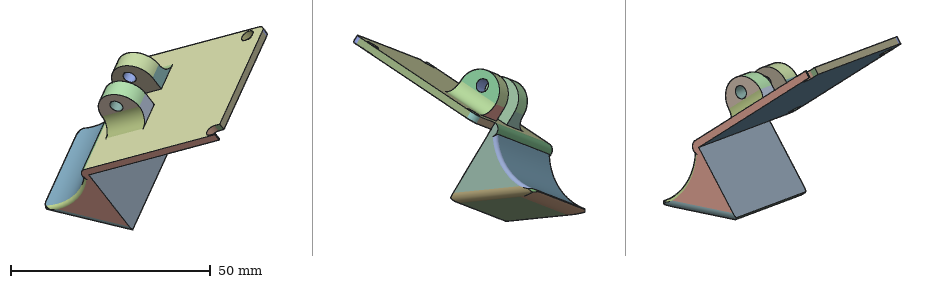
import cadquery as cq
import math

PLAN_ANGLE = 30
SLOPE_ANGLE = 35

PLATE_LENGTH = 41.95
PLATE_WIDTH = 39.8
PLATE_THICKNESS = 1.95
PLATE_CORNER_RADIUS = 2.0
HOLE_DIAMETER = 3.4
HOLE_SPACING = 34.55
HOLE_FRONT_INSET = 2.65
HOLE_SIDE_INSET = 2.35
NOTCH_CENTER_LENGTH = 40.25
NOTCH_SIDE_INSET = 2.15

LUG_FRONT_INSET = 2.65
LUG_LENGTH = 12.0
LUG_THICKNESS = 4.9
LUG_GAP = 5.6
LUG_MIDDLE_WIDTH = 22.05
LUG_STRAIGHT_HEIGHT = 3.9
PIN_HEIGHT = 6.0
FLARE_RADIUS = 4.0

FOOT_WIDTH = 29.9
BEND_HEIGHT = 17.55
FOOT_FRONT = 12.3
FOOT_BACK = 11.8
FOOT_ROUNDING = 2.25
TOE_CORNER_RADIUS = 2.8
TOE_CURL_LENGTH = 5.05
TOE_CURL_HEIGHT = 0.9
SADDLE_RADIUS = 16.8
SADDLE_CENTER_HEIGHT = 16.8
SADDLE_SETBACK = 1.5
SADDLE_EDGE_ROUNDING = 1.0

slope = math.radians(SLOPE_ANGLE)
bend_axis = (0, BEND_HEIGHT)


def width_plane(width):
    """Plane across the part at a given width: local x is forward along the part, local y is up."""
    return cq.Plane(origin=(0, width, 0), xDir=(1, 0, 0), normal=(0, -1, 0))


def make_plate():
    """Flat plate with rounded corners on its wide side, two holes and an open notch."""
    plate = (
        cq.Workplane("XY")
        .box(PLATE_LENGTH, PLATE_WIDTH, PLATE_THICKNESS, centered=False)
        .edges("|Z and >Y")
        .fillet(PLATE_CORNER_RADIUS)
    )
    holes = (
        cq.Workplane("XY")
        .pushPoints([
            (HOLE_FRONT_INSET + i * HOLE_SPACING, PLATE_WIDTH - HOLE_SIDE_INSET) for i in range(2)
        ])
        .circle(HOLE_DIAMETER / 2)
        .extrude(PLATE_THICKNESS)
    )
    notch_end = (
        cq.Workplane("XY")
        .center(NOTCH_CENTER_LENGTH, NOTCH_SIDE_INSET)
        .circle(HOLE_DIAMETER / 2)
        .extrude(PLATE_THICKNESS)
    )
    notch_mouth = (
        cq.Workplane("XY")
        .box(HOLE_DIAMETER, HOLE_DIAMETER, PLATE_THICKNESS, centered=(False, True, False))
        .translate((NOTCH_CENTER_LENGTH, NOTCH_SIDE_INSET, 0))
    )
    return plate.cut(holes).cut(notch_end).cut(notch_mouth)


def make_lugs():
    """Pair of mirrored round-topped lugs, each flared outward at its foot, with a common pin hole."""
    lug_radius = LUG_LENGTH / 2
    inner = LUG_GAP / 2
    outer = inner + LUG_THICKNESS
    flare_mid = FLARE_RADIUS * (1 - math.sqrt(0.5))

    outline = (
        cq.Workplane(width_plane(outer + FLARE_RADIUS))
        .moveTo(-lug_radius, 0)
        .lineTo(lug_radius, 0)
        .lineTo(lug_radius, LUG_STRAIGHT_HEIGHT)
        .threePointArc((0, LUG_STRAIGHT_HEIGHT + lug_radius), (-lug_radius, LUG_STRAIGHT_HEIGHT))
        .close()
        .extrude(2 * (outer + FLARE_RADIUS))
    )
    lug_height = LUG_STRAIGHT_HEIGHT + lug_radius
    section = (
        cq.Workplane("YZ", origin=(-lug_radius, 0, 0))
        .moveTo(inner, 0)
        .lineTo(outer + FLARE_RADIUS, 0)
        .threePointArc((outer + flare_mid, flare_mid), (outer, FLARE_RADIUS))
        .lineTo(outer, lug_height)
        .lineTo(inner, lug_height)
        .close()
        .extrude(LUG_LENGTH)
    )
    pin_hole = (
        cq.Workplane(width_plane(outer))
        .center(0, PIN_HEIGHT)
        .circle(HOLE_DIAMETER / 2)
        .extrude(2 * outer)
    )
    lugs = section.union(section.mirror("XZ")).intersect(outline).cut(pin_hole)
    return lugs.translate((LUG_FRONT_INSET + lug_radius, LUG_MIDDLE_WIDTH, PLATE_THICKNESS))


def make_foot():
    """Wedge with a back face square to the plate and a cylindrical saddle ending in a thin toe."""
    back_face_depth = BEND_HEIGHT * math.tan(slope)
    block = (
        cq.Workplane("XY")
        .box(FOOT_FRONT + FOOT_BACK, FOOT_WIDTH, BEND_HEIGHT, centered=False)
        .translate((-FOOT_FRONT, 0, 0))
    )
    rounded_below = block.faces("<Z").edges("not <X").fillet(FOOT_ROUNDING)
    rounded_toe = block.edges("|Z and <X").fillet(TOE_CORNER_RADIUS)
    behind_back_face = (
        cq.Workplane(width_plane(FOOT_WIDTH))
        .polyline([bend_axis, (back_face_depth, BEND_HEIGHT), (back_face_depth, 0)])
        .close()
        .extrude(FOOT_WIDTH)
    )
    saddle = (
        cq.Workplane(width_plane(FOOT_WIDTH))
        .center(-SADDLE_SETBACK - SADDLE_RADIUS, SADDLE_CENTER_HEIGHT)
        .circle(SADDLE_RADIUS)
        .extrude(FOOT_WIDTH)
    )
    curl_radius = (TOE_CURL_LENGTH**2 + TOE_CURL_HEIGHT**2) / (2 * TOE_CURL_HEIGHT)
    half_turn = math.asin(TOE_CURL_LENGTH / curl_radius) / 2
    curl_start = TOE_CURL_LENGTH - FOOT_FRONT
    under_toe = (
        cq.Workplane(width_plane(FOOT_WIDTH))
        .moveTo(curl_start, 0)
        .threePointArc(
            (curl_start - curl_radius * math.sin(half_turn), curl_radius * (1 - math.cos(half_turn))),
            (-FOOT_FRONT, TOE_CURL_HEIGHT),
        )
        .lineTo(-FOOT_FRONT, 0)
        .close()
        .extrude(FOOT_WIDTH)
    )
    saddle_side_edges = cq.selectors.RadiusNthSelector(-1)
    return (
        block.cut(behind_back_face)
        .cut(saddle)
        .edges(saddle_side_edges)
        .fillet(SADDLE_EDGE_ROUNDING)
        .intersect(rounded_below)
        .intersect(rounded_toe)
        .cut(under_toe)
    )


def make_bend():
    """Half-round bead joining the plate's top face to the saddle."""
    across = (PLATE_THICKNESS * math.sin(slope), PLATE_THICKNESS * math.cos(slope))
    return (
        cq.Workplane(width_plane(FOOT_WIDTH))
        .moveTo(-across[0], BEND_HEIGHT + across[1])
        .threePointArc(
            (-across[1], BEND_HEIGHT - across[0]),
            (across[0], BEND_HEIGHT - across[1]),
        )
        .close()
        .extrude(FOOT_WIDTH)
    )


sloped_part = (
    make_plate()
    .union(make_lugs())
    .rotate((0, 0, 0), (0, 1, 0), -SLOPE_ANGLE)
    .translate((0, 0, BEND_HEIGHT))
)
result = (
    make_foot()
    .union(make_bend())
    .union(sloped_part)
    .rotate((0, 0, 0), (0, 0, 1), PLAN_ANGLE)
)